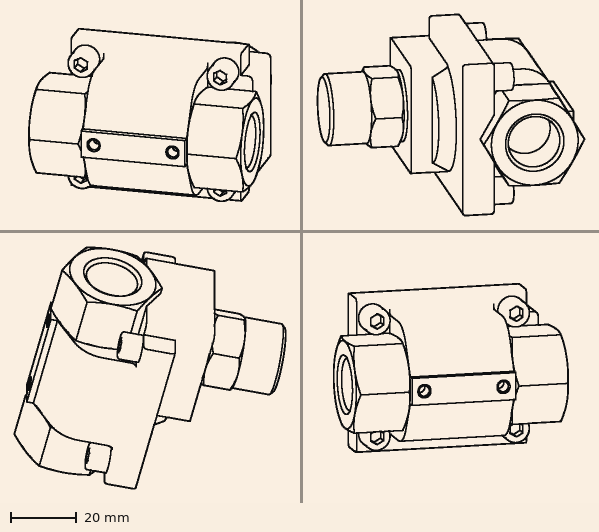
import cadquery as cq
import math


overall_depth = 72.1

corners_per_flats = 1 / math.cos(math.pi / 6)

run_length = 67.0
body_length = 32.8
run_hex_flats = 27.1
run_hex_chamfer_angle = 22.0
run_face_diameter = 26.95
bore_diameter = 16.0
bore_mouth_diameter = 18.2
bore_depth = 14.4
bore_taper = 1 / 16

body_half_height = 18.5
shoulder_radius = 10.25
shoulder_start_y = 0.8
body_slope_angle = 60.0
root_fillet = 1.5
pad_width = 8.4
pad_face_y = -15.4

pad_hole_spacing = 24.95
pad_hole_diameter = 3.25
pad_hole_mouth_diameter = 4.1
pad_hole_depth = 5.8
drill_tip_angle = 118.0

plate_length = 53.6
plate_height = 48.0
plate_front_y = 11.25
plate_thickness = 9.9
plate_edge_radius = 1.1

screw_spacing_x = 44.0
screw_spacing_z = 36.05
screw_head_diameter = 8.4
screw_head_height = 6.35
screw_head_radius = 0.65
screw_socket_flats = 4.05
screw_socket_depth = 3.6

cone_base_radius = 16.9
cone_height = 4.9
cone_half_angle = 30.0

block_side = 34.1
block_center_x = 13.5
block_back_y = 32.5
block_edge_radius = 1.5

nipple_diameter = 22.0
nipple_end_y = overall_depth - run_hex_flats / 2 * corners_per_flats
nipple_chamfer = 1.0
nipple_hex_gap = 1.1
nipple_hex_length = 10.1
nipple_hex_chamfer_angle = 30.0

plate_back_y = plate_front_y + plate_thickness


def plane_facing_y(x, y, z=0):
    """Work plane whose normal is +Y and whose local x is +X."""
    return cq.Plane(origin=(x, y, z), xDir=(1, 0, 0), normal=(0, 1, 0))


def plane_facing_front(x, y, z=0):
    """Work plane whose normal is -Y and whose local x is +X."""
    return cq.Plane(origin=(x, y, z), xDir=(1, 0, 0), normal=(0, -1, 0))


def turned(plane, profile):
    """Solid of revolution about the plane's normal from (radius, height) points."""
    side_plane = cq.Plane(origin=plane.origin, xDir=plane.xDir, normal=-plane.yDir)
    return cq.Workplane(side_plane).polyline(profile).close().revolve(360, (0, 0), (0, 1))


def hexagon(plane, flats, length):
    """Hexagonal prism with two corners on the local x axis."""
    return cq.Workplane(plane).polygon(6, flats * corners_per_flats).extrude(length)


def chamfered_hexagon(plane, flats, length, face_diameter, chamfer_angle):
    """Hexagonal prism whose corners are turned off conically at both ends."""
    corner_radius = flats / 2 * corners_per_flats
    face_radius = face_diameter / 2
    rise = (corner_radius - face_radius) * math.tan(math.radians(chamfer_angle))
    envelope = turned(
        plane,
        [
            (0, 0),
            (face_radius, 0),
            (corner_radius, rise),
            (corner_radius, length - rise),
            (face_radius, length),
            (0, length),
        ],
    )
    return hexagon(plane, flats, length).intersect(envelope)


def pipe_end(side):
    """Hexagonal pipe end with a blind tapered bore, on the -X (-1) or +X (+1) side."""
    inner_plane = cq.Plane(origin=(side * body_length / 2, 0, 0), xDir=(0, 1, 0), normal=(side, 0, 0))
    length = (run_length - body_length) / 2
    hexagon_end = chamfered_hexagon(
        inner_plane, run_hex_flats, length, run_face_diameter, run_hex_chamfer_angle
    )
    mouth_plane = cq.Plane(origin=(side * run_length / 2, 0, 0), xDir=(0, 1, 0), normal=(-side, 0, 0))
    bore_radius = bore_diameter / 2
    mouth_radius = bore_mouth_diameter / 2
    mouth_depth = mouth_radius - bore_radius
    end_radius = bore_radius - (bore_depth - mouth_depth) * bore_taper / 2
    bore = turned(
        mouth_plane,
        [
            (0, 0),
            (mouth_radius, 0),
            (bore_radius, mouth_depth),
            (end_radius, bore_depth),
            (0, bore_depth),
        ],
    )
    return hexagon_end.cut(bore)


def body():
    """Rounded body with sloping flanks, root fillets and the front pad."""
    slope = math.radians(body_slope_angle)
    arc_center_z = body_half_height - shoulder_radius
    arc_mid_y = shoulder_start_y - shoulder_radius * math.sin(slope / 2)
    arc_mid_z = arc_center_z + shoulder_radius * math.cos(slope / 2)
    arc_end_y = shoulder_start_y - shoulder_radius * math.sin(slope)
    arc_end_z = arc_center_z + shoulder_radius * math.cos(slope)
    pad_half = pad_width / 2
    slope_end_y = arc_end_y - (arc_end_z - pad_half) / math.tan(slope)
    fillet_start_y = plate_front_y - root_fillet
    fillet_mid = root_fillet * math.sin(math.pi / 4)
    upper_half = (
        cq.Workplane("YZ", origin=(-body_length / 2, 0, 0))
        .moveTo(pad_face_y, 0)
        .lineTo(pad_face_y, pad_half)
        .lineTo(slope_end_y, pad_half)
        .lineTo(arc_end_y, arc_end_z)
        .threePointArc((arc_mid_y, arc_mid_z), (shoulder_start_y, body_half_height))
        .lineTo(fillet_start_y, body_half_height)
        .threePointArc(
            (fillet_start_y + fillet_mid, body_half_height + root_fillet - fillet_mid),
            (plate_front_y, body_half_height + root_fillet),
        )
        .lineTo(plate_front_y, 0)
        .close()
        .extrude(body_length)
    )
    return upper_half.union(upper_half.mirror("XY"))


def pad_hole(x):
    """Countersunk blind hole with a drill tip, entering the pad along +Y."""
    radius = pad_hole_diameter / 2
    mouth_radius = pad_hole_mouth_diameter / 2
    tip = radius / math.tan(math.radians(drill_tip_angle / 2))
    return turned(
        plane_facing_y(x, pad_face_y),
        [
            (0, 0),
            (mouth_radius, 0),
            (radius, mouth_radius - radius),
            (radius, pad_hole_depth),
            (0, pad_hole_depth + tip),
        ],
    )


def plate():
    """Flange plate with its four long edges rounded."""
    return (
        cq.Workplane("XY")
        .box(plate_length, plate_thickness, plate_height)
        .edges("|X")
        .fillet(plate_edge_radius)
        .translate((0, plate_front_y + plate_thickness / 2, 0))
    )


def screw_head(x, z):
    """Cylindrical screw head with a rounded rim and a hexagon socket."""
    head = (
        cq.Workplane(plane_facing_front(x, plate_front_y, z))
        .circle(screw_head_diameter / 2)
        .extrude(screw_head_height)
        .faces("<Y")
        .edges()
        .fillet(screw_head_radius)
    )
    socket_plane = cq.Plane(
        origin=(x, plate_front_y - screw_head_height, z), xDir=(0, 0, 1), normal=(0, 1, 0)
    )
    return head.cut(hexagon(socket_plane, screw_socket_flats, screw_socket_depth))


def cover():
    """Conical cover standing on the back of the plate."""
    top_radius = cone_base_radius - cone_height * math.tan(math.radians(cone_half_angle))
    return turned(
        plane_facing_y(0, plate_back_y),
        [(0, 0), (cone_base_radius, 0), (top_radius, cone_height), (0, cone_height)],
    )


def outlet_block():
    """Square block, flush with the plate front, that carries the nipple."""
    return (
        cq.Workplane(plane_facing_y(block_center_x, plate_front_y))
        .rect(block_side, block_side)
        .extrude(block_back_y - plate_front_y)
        .edges("|Y")
        .fillet(block_edge_radius)
    )


def outlet_nipple():
    """Chamfered cylindrical nipple with a hexagon collar near the block."""
    spigot = (
        cq.Workplane(plane_facing_y(block_center_x, block_back_y))
        .circle(nipple_diameter / 2)
        .extrude(nipple_end_y - block_back_y)
        .faces(">Y")
        .chamfer(nipple_chamfer)
    )
    hexagon_collar = chamfered_hexagon(
        plane_facing_y(block_center_x, block_back_y + nipple_hex_gap),
        nipple_diameter,
        nipple_hex_length,
        nipple_diameter,
        nipple_hex_chamfer_angle,
    )
    return spigot.union(hexagon_collar)


result = body().union(plate()).union(outlet_block()).union(cover()).union(outlet_nipple())
for side in (-1, 1):
    result = result.union(pipe_end(side))
    result = result.cut(pad_hole(side * pad_hole_spacing / 2))
    for level in (-1, 1):
        result = result.union(screw_head(side * screw_spacing_x / 2, level * screw_spacing_z / 2))